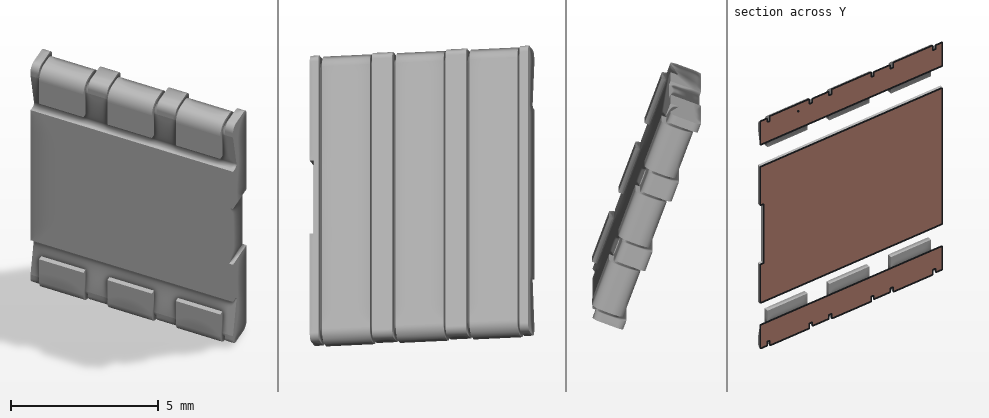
import cadquery as cq

width = 7.52
clip_height = 10.0
clip_depth = 1.27

plate_thickness = 1.1
end_clearance = 0.03
plate_height = clip_height - 2 * end_clearance
front_radius = 0.26
back_radius = 0.24

ramp_start = 0.48
step_height = 2.96
ramp_depth = 0.31
ramp_root_radius = 0.11

notch_depth = 0.14
notch_length = 2.54

clip_count = 3
clip_pitch = 2.54
slot_width = 1.84
clip_width = 1.65
slot_back_depth = 0.31
slot_end_depth = 0.2
slot_back_radius = 0.31
clip_back_recess = 0.14
clip_front_radius = 0.43
clip_back_radius = 0.42
pad_length = 1.46

clip_positions = [(i - (clip_count - 1) / 2) * clip_pitch for i in range(clip_count)]


def block(length_x, back, front, height, x=0.0):
    """Box centred on x and Z = 0, between two depths measured from the back face."""
    return (
        cq.Workplane("XY")
        .box(length_x, front - back, height)
        .translate((x, -(back + front) / 2, 0))
    )


def rounded_bar(length_x, back, front, height, back_rounding, front_rounding, x):
    """Block whose long back and front edges at both ends are rounded."""
    return (
        block(length_x, back, front, height, x)
        .edges("|X and >Y")
        .fillet(back_rounding)
        .edges("|X and <Y")
        .fillet(front_rounding)
    )


def slot_core(length_x, x):
    """Plate section left inside a slot, which the clip wraps around."""
    core_height = clip_height - 2 * slot_end_depth
    return rounded_bar(
        length_x, slot_back_depth, plate_thickness, core_height, slot_back_radius, front_radius, x
    )


def ramp_relief():
    """Wedge removed from the front face at the top end, with a rounded root."""
    ramp_top = clip_height / 2 - ramp_start
    wedge = (
        cq.Workplane("YZ")
        .polyline([
            (-plate_thickness, ramp_top),
            (-plate_thickness, step_height),
            (ramp_depth - plate_thickness, step_height),
        ])
        .close()
        .extrude(width / 2, both=True)
    )
    return wedge.edges("|X and >Y").fillet(ramp_root_radius)


def notch():
    """Shallow cut through the full thickness in the middle of the +X side."""
    centre_x = (width - notch_depth) / 2
    return block(notch_depth, 0, plate_thickness, notch_length, centre_x)


def slot(x):
    """Material removed from the plate around the core of one slot."""
    return block(slot_width, 0, plate_thickness, plate_height, x).cut(slot_core(slot_width, x))


def clip(x):
    """Metal strip along the back and around both ends, ending in two front pads."""
    outside = rounded_bar(
        clip_width, clip_back_recess, clip_depth, clip_height, clip_back_radius, clip_front_radius, x
    )
    pad_opening = block(clip_width, plate_thickness, clip_depth, clip_height - 2 * pad_length, x)
    return outside.cut(slot_core(clip_width, x)).cut(pad_opening)


plate = rounded_bar(width, 0, plate_thickness, plate_height, back_radius, front_radius, 0)
for clip_x in clip_positions:
    plate = plate.cut(slot(clip_x))
relief = ramp_relief()
plate = plate.cut(relief).cut(relief.mirror("XY")).cut(notch())

result = plate
for clip_x in clip_positions:
    result = result.union(clip(clip_x))